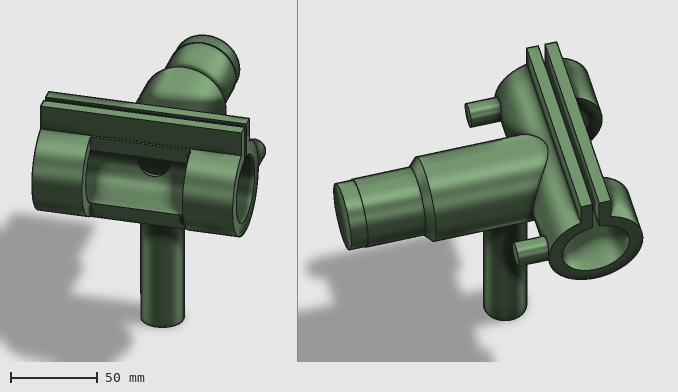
import cadquery as cq

clamp_length = 120.0
clamp_radius = 28.0
bore_radius = 20.0

ear_top = 41.5
ears_width = 18.0
slot_width = 4.0

window_length = clamp_length / 2
window_back = -10.0

overall_depth = 163.0
barrel_radius = 25.0
neck_radius = 20.0
barrel_end = 85.7
shoulder_height = barrel_radius - neck_radius
head_length = 10.0
head_end = overall_depth - clamp_radius
neck_end = head_end - head_length

overall_height = 155.5
rod_radius = 12.5
rod_y = 38.0
rod_bottom = ear_top - overall_height

stud_radius = 7.0
stud_x = 52.5
stud_end = 45.8

plunger_radius = 10.1
head_radius = 19.5
plunger_tip = bore_radius


def cylinder_x(radius, length):
    """Cylinder along X, centered on the origin."""
    return cq.Workplane("YZ").circle(radius).extrude(length / 2, both=True)


def cylinder_y(radius, start, end, x=0):
    """Cylinder along Y between two Y positions."""
    return cq.Workplane("XZ", origin=(x, start, 0)).circle(radius).extrude(start - end)


def make_barrel():
    """Barrel with a conical shoulder down to its neck."""
    profile = [
        (0, 0),
        (barrel_radius, 0),
        (barrel_radius, barrel_end),
        (neck_radius, barrel_end + shoulder_height),
        (neck_radius, neck_end),
        (0, neck_end),
    ]
    return cq.Workplane("XY").polyline(profile).close().revolve(360, (0, 0, 0), (0, 1, 0))


def make_rod():
    """Vertical rod whose top end is buried in the barrel wall."""
    rod_top = -(barrel_radius + plunger_radius) / 2
    return (
        cq.Workplane("XY", origin=(0, rod_y, rod_bottom))
        .circle(rod_radius)
        .extrude(rod_top - rod_bottom)
    )


def make_ears():
    """Block that the slot splits into two ears."""
    return cq.Workplane("XY").rect(clamp_length, ears_width).extrude(ear_top)


def make_slot():
    """Cut between the ears, down into the clamp bore."""
    return cq.Workplane("XY").rect(clamp_length, slot_width).extrude(ear_top)


def make_window():
    """Block that opens the front wall of the clamp."""
    window_depth = clamp_radius + window_back
    return (
        cq.Workplane("XY")
        .box(window_length, window_depth, 2 * clamp_radius)
        .translate((0, window_back - window_depth / 2, 0))
    )


def make_housing():
    """Split clamp with barrel, handle rod and studs, bored for the plunger."""
    body = cylinder_x(clamp_radius, clamp_length).union(make_ears())
    body = body.union(make_barrel()).union(make_rod())
    for x in (-stud_x, stud_x):
        body = body.union(cylinder_y(stud_radius, bore_radius, stud_end, x))
    body = body.cut(cylinder_x(bore_radius, clamp_length))
    body = body.cut(make_slot()).cut(make_window())
    return body.cut(cylinder_y(plunger_radius, 0, neck_end))


def make_plunger():
    """Pin that fills the barrel bore, with a head seated on the neck."""
    shank = cylinder_y(plunger_radius, plunger_tip, neck_end)
    head = cylinder_y(head_radius, neck_end, head_end)
    return shank.union(head)


housing = make_housing()
plunger = make_plunger()
result = cq.Compound.makeCompound([housing.solids().val(), plunger.solids().val()])